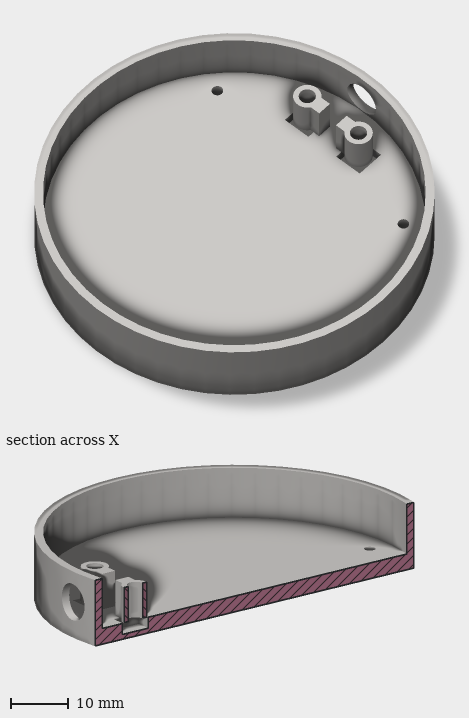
import cadquery as cq

outer_diameter = 69.5
inner_diameter = 66.4
tray_height = 12.15
floor_thickness = 3.0

screw_hole_diameter = 2.0
screw_pair_offset_x = 21.7
screw_pair_offset_y = 19.75
single_screw_offset_y = -29.05

wall_hole_diameter = 6.7
wall_hole_height = 6.5

post_offset_x = 6.0
post_offset_y = 25.6
post_diameter = 4.9
post_bore_diameter = 3.0
post_height = 6.5
tab_width = 2.8
tab_reach = 4.0
pocket_size = 5.5
pocket_depth = 2.0


def make_tray():
    """Open tray with screw holes, a wall opening and a pocket below each post."""
    tray = cq.Workplane("XY").circle(outer_diameter / 2).extrude(tray_height)
    cavity = (
        cq.Workplane("XY", origin=(0, 0, floor_thickness))
        .circle(inner_diameter / 2)
        .extrude(tray_height - floor_thickness)
    )

    screw_points = [
        (-screw_pair_offset_x, screw_pair_offset_y),
        (screw_pair_offset_x, screw_pair_offset_y),
        (0, single_screw_offset_y),
    ]
    screw_holes = (
        cq.Workplane("XY")
        .pushPoints(screw_points)
        .circle(screw_hole_diameter / 2)
        .extrude(floor_thickness)
    )

    wall_hole = (
        cq.Workplane("XZ", origin=(0, 0, wall_hole_height))
        .circle(wall_hole_diameter / 2)
        .extrude(-outer_diameter / 2)
    )

    pockets = (
        cq.Workplane("XY", origin=(0, 0, floor_thickness))
        .pushPoints([(-post_offset_x, post_offset_y), (post_offset_x, post_offset_y)])
        .rect(pocket_size, pocket_size)
        .extrude(-pocket_depth)
    )
    return tray.cut(cavity).cut(screw_holes).cut(wall_hole).cut(pockets)


def make_post(side):
    """Tube over a pocket, resting on the floor by a tab that points to the X center.

    side is -1 for the post at -X and 1 for the post at +X.
    """
    base = cq.Workplane("XY", origin=(side * post_offset_x, post_offset_y, floor_thickness))
    tube = base.circle(post_diameter / 2).extrude(post_height)
    tab = base.center(-side * tab_reach / 2, 0).rect(tab_reach, tab_width).extrude(post_height)
    bore = base.circle(post_bore_diameter / 2).extrude(post_height)
    return tube.union(tab).cut(bore)


tray = make_tray()
posts = [make_post(side) for side in (-1, 1)]

result = cq.Compound.makeCompound([tray.val(), *[post.val() for post in posts]])